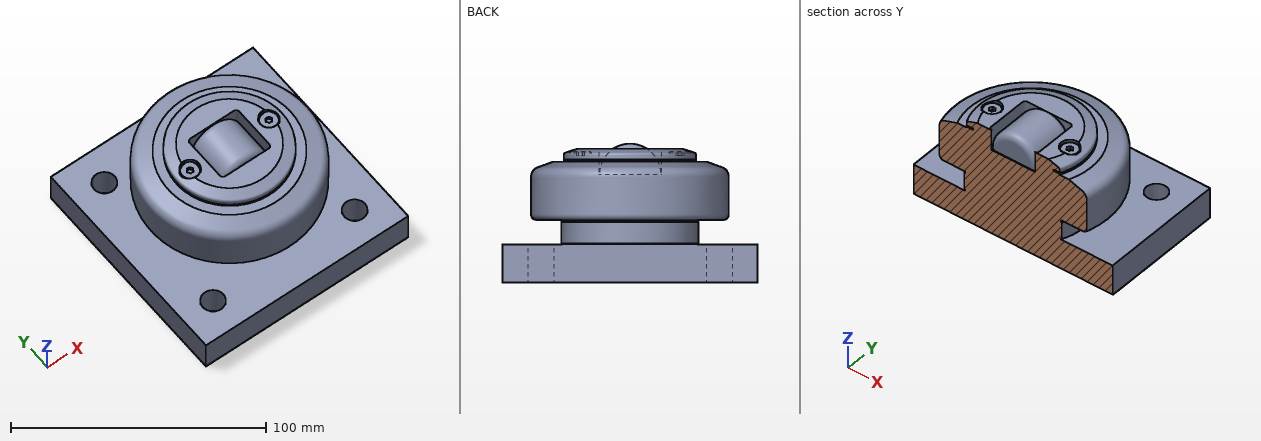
import cadquery as cq
import math

plate_side = 100.0
plate_height = 15.0
bolt_hole_diameter = 10.1
bolt_hole_pitch = 70.0

neck_diameter = 54.0
neck_relief_height = 0.5
neck_chamfer = 0.4

ring_diameter = 77.7
ring_bottom = 24.5
ring_top = 47.4
ring_top_diameter = 60.4
ring_shoulder_radius = 4.0
ring_bottom_radius = 2.2
cone_angle = 20.0

cap_top = 52.5
cap_top_diameter = 42.0
cap_diameter = 52.0
cap_edge_radius = 1.0
cap_groove_diameter = 46.2
cap_groove_height = 0.4
cap_flange_height = 0.5

roller_top = 54.5
roller_diameter = 24.0
roller_length = 22.0
roller_end_radius = 3.0
pocket_length = 24.4
pocket_width = 22.4
pocket_corner_radius = 1.5
roller_axis_height = roller_top - roller_diameter / 2

screw_pitch = 39.0
counterbore_diameter = 8.6
counterbore_depth = 1.6
head_diameter = 7.8
head_height = 0.6
socket_across_corners = 3.0
socket_depth = 1.5


def make_disc(diameter, bottom, top):
    return cq.Workplane("XY").workplane(offset=bottom).circle(diameter / 2).extrude(top - bottom)


def make_shouldered_disc(diameter, top_diameter, bottom, top, shoulder_radius):
    """Disc whose rim slopes down from its flat top and rounds into its vertical side."""
    radius = diameter / 2
    top_radius = top_diameter / 2
    slope = math.radians(cone_angle)
    middle_angle = math.radians((90 - cone_angle) / 2)
    centre_radius = radius - shoulder_radius
    cone_end_radius = centre_radius + shoulder_radius * math.sin(slope)
    cone_end_height = top - (cone_end_radius - top_radius) * math.tan(slope)
    centre_height = cone_end_height - shoulder_radius * math.cos(slope)
    arc_middle = (
        centre_radius + shoulder_radius * math.cos(middle_angle),
        centre_height + shoulder_radius * math.sin(middle_angle),
    )
    return (
        cq.Workplane("XZ")
        .moveTo(0, bottom)
        .lineTo(radius, bottom)
        .lineTo(radius, centre_height)
        .threePointArc(arc_middle, (cone_end_radius, cone_end_height))
        .lineTo(top_radius, top)
        .lineTo(0, top)
        .close()
        .revolve(360, (0, 0, 0), (0, 1, 0))
    )


def make_plate():
    plate = cq.Workplane("XY").box(plate_side, plate_side, plate_height, centered=(True, True, False))
    holes = plate.faces(">Z").workplane().rect(bolt_hole_pitch, bolt_hole_pitch, forConstruction=True)
    return holes.vertices().hole(bolt_hole_diameter)


def make_neck():
    """Chamfered cylinder with a slightly slimmer step where it meets the ring."""
    neck_top = ring_bottom - neck_relief_height
    neck = make_disc(neck_diameter, plate_height, neck_top).edges().chamfer(neck_chamfer)
    return neck.union(make_disc(neck_diameter - 2 * neck_chamfer, plate_height, ring_bottom))


def make_ring():
    ring = make_shouldered_disc(
        ring_diameter, ring_top_diameter, ring_bottom, ring_top, ring_shoulder_radius
    )
    return ring.faces("<Z").edges().fillet(ring_bottom_radius)


def make_cap():
    """Shouldered disc above a thin flange of the same diameter, with a narrow groove between."""
    flange_top = ring_top + cap_flange_height
    cap_bottom = flange_top + cap_groove_height
    flange = make_disc(cap_diameter, ring_top, flange_top)
    core = make_disc(cap_groove_diameter, flange_top, cap_bottom)
    cap = make_shouldered_disc(cap_diameter, cap_top_diameter, cap_bottom, cap_top, cap_edge_radius)
    return flange.union(core).union(cap)


def make_pocket():
    """Rounded rectangular opening reaching down to the roller axis."""
    return (
        cq.Workplane("XY")
        .workplane(offset=roller_axis_height)
        .rect(pocket_length, pocket_width)
        .extrude(roller_top - roller_axis_height)
        .edges("|Z")
        .fillet(pocket_corner_radius)
    )


def make_roller():
    return (
        cq.Workplane("XZ", origin=(0, roller_length / 2, roller_axis_height))
        .circle(roller_diameter / 2)
        .extrude(roller_length)
        .faces("<Y or >Y")
        .edges()
        .fillet(roller_end_radius)
    )


def sink_screws(body):
    """Counterbore each cap screw and leave its head, with a hexagon socket, at the bottom."""
    seat = cap_top - counterbore_depth
    head_top = seat + head_height
    socket_bottom = head_top - socket_depth
    for x in (-screw_pitch / 2, screw_pitch / 2):
        counterbore = make_disc(counterbore_diameter, seat, cap_top)
        head = make_disc(head_diameter, seat, head_top)
        socket = (
            cq.Workplane("XY")
            .workplane(offset=socket_bottom)
            .polygon(6, socket_across_corners)
            .extrude(socket_depth)
        )
        body = body.cut(counterbore.translate((x, 0, 0)))
        body = body.union(head.translate((x, 0, 0)))
        body = body.cut(socket.translate((x, 0, 0)))
    return body


result = make_plate().union(make_neck()).union(make_ring()).union(make_cap())
result = result.cut(make_pocket()).union(make_roller())
result = sink_screws(result)